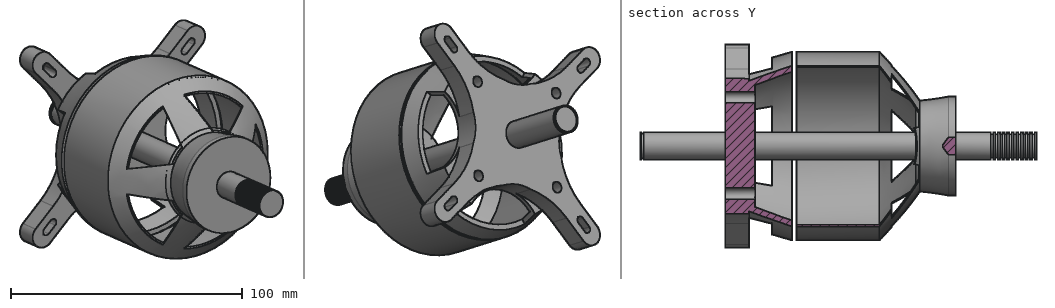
import cadquery as cq
import math


SHAFT_LENGTH = 171.0
SHAFT_RADIUS = 6.0
GROOVE_WIDTH = 1.0
REAR_GROOVE_START = 0.5
REAR_GROOVE_DEPTH = 0.5
THREAD_GROOVES = 10
THREAD_PITCH = 2 * GROOVE_WIDTH
THREAD_DEPTH = 0.9

PLATE_BACK = 36.6
PLATE_FRONT = 47.0
ARM_TIP_RADIUS = 5.22
ARM_REACH = 87.7 / 2 - ARM_TIP_RADIUS
SCOOP_RADIUS = 36.8
SLOT_CENTRE_RADIUS = 49.8
SLOT_WIDTH = 3.5
SLOT_LENGTH = 8.2
BOLT_CIRCLE_RADIUS = 29.4
BOLT_HOLE_DIAMETER = 4.8
BOLT_TWIST = 0.7

MOTOR_RADIUS = 40.7
HUB_FRONT = 49.6
RING_BACK = 56.8
RING_FRONT = 65.5
RING_BACK_RADIUS = 38.1
HOUSING_WALL = 2.4
PORT_RADIUS = 20.2
PORT_CENTRE = 42.2

BELL_BACK = 67.4
CONE_START = 103.1
CONE_END = 120.5
CONE_END_RADIUS = 19.7
CONE_BULGE = 0.5
BELL_WALL = 0.9
HUB_BACK = 118.8
COLLAR_RIM_BACK = 132.9
COLLAR_FRONT = 136.1
COLLAR_RADIUS = 21.4

WINDOW_BACK = 108.4
WINDOW_FRONT = 120.0
SPOKES = 5
SPOKE_BACK_HALF_WIDTH = 5.6
SPOKE_FRONT_HALF_WIDTH = 8.2


def cylinder(start, end, radius, y=0, z=0):
    """Cylinder along X between two X positions."""
    return cq.Workplane("YZ", origin=(start, y, z)).circle(radius).extrude(end - start)


def turn(shape, angle):
    """Rotate a shape about the shaft axis."""
    return shape.rotate((0, 0, 0), (1, 0, 0), angle)


def shaft_groove(start, depth):
    """Square ring groove in the shaft."""
    end = start + GROOVE_WIDTH
    core = cylinder(start, end, SHAFT_RADIUS - depth)
    return cylinder(start, end, 2 * SHAFT_RADIUS).cut(core)


def make_shaft():
    shaft = cylinder(0, SHAFT_LENGTH, SHAFT_RADIUS)
    shaft = shaft.cut(shaft_groove(REAR_GROOVE_START, REAR_GROOVE_DEPTH))
    thread_start = SHAFT_LENGTH - THREAD_GROOVES * THREAD_PITCH
    for i in range(THREAD_GROOVES):
        shaft = shaft.cut(shaft_groove(thread_start + i * THREAD_PITCH, THREAD_DEPTH))
    return shaft


def make_cross():
    """Four-armed plate whose concave sides run tangent into the arms."""
    tip_offset = ARM_TIP_RADIUS / math.sqrt(2)
    tip_near = ARM_REACH - tip_offset
    tip_far = ARM_REACH + tip_offset
    scoop_half_width = SCOOP_RADIUS / math.sqrt(2)
    scoop_centre = math.sqrt(2) * (SCOOP_RADIUS + ARM_TIP_RADIUS)
    scoop_end = scoop_centre - scoop_half_width
    scoop_bottom = scoop_centre - SCOOP_RADIUS

    def place(point, quarter):
        y, z = point
        for _ in range(quarter):
            y, z = -z, y
        return y, z

    outline = cq.Workplane("YZ", origin=(PLATE_BACK, 0, 0)).moveTo(scoop_end, -scoop_half_width)
    for quarter in range(4):
        outline = outline.threePointArc(
            place((scoop_bottom, 0), quarter), place((scoop_end, scoop_half_width), quarter)
        )
        outline = outline.lineTo(*place((tip_far, tip_near), quarter))
        outline = outline.threePointArc(
            place((tip_far, tip_far), quarter), place((tip_near, tip_far), quarter)
        )
        outline = outline.lineTo(*place((scoop_half_width, scoop_end), quarter))
    return outline.close().extrude(PLATE_FRONT - PLATE_BACK)


def make_housing():
    """Conical stator cup, closed at the back and open at the front."""
    slope = (MOTOR_RADIUS - RING_BACK_RADIUS) / (RING_FRONT - RING_BACK)

    def outer_radius(x):
        return RING_BACK_RADIUS + slope * (x - RING_BACK)

    outline = [
        (PLATE_FRONT, 0),
        (PLATE_FRONT, outer_radius(PLATE_FRONT)),
        (RING_FRONT, MOTOR_RADIUS),
        (RING_FRONT, MOTOR_RADIUS - HOUSING_WALL),
        (HUB_FRONT, outer_radius(HUB_FRONT) - HOUSING_WALL),
        (HUB_FRONT, 0),
    ]
    return cq.Workplane("XY").polyline(outline).close().revolve(360, (0, 0, 0), (1, 0, 0))


def make_mount():
    """Cross and housing with their ports, slots and bolt holes."""
    mount = make_cross().union(make_housing())
    port = cylinder(PLATE_BACK, RING_BACK, PORT_RADIUS, y=PORT_CENTRE)
    bolt_hole = cylinder(PLATE_BACK, HUB_FRONT, BOLT_HOLE_DIAMETER / 2, y=BOLT_CIRCLE_RADIUS)
    slot = (
        cq.Workplane("YZ", origin=(PLATE_BACK, SLOT_CENTRE_RADIUS, 0))
        .slot2D(SLOT_LENGTH, SLOT_WIDTH)
        .extrude(PLATE_FRONT - PLATE_BACK)
    )
    for quarter_angle in range(0, 360, 90):
        arm_angle = quarter_angle + 45
        mount = mount.cut(turn(port, quarter_angle))
        mount = mount.cut(turn(bolt_hole, arm_angle - BOLT_TWIST))
        mount = mount.cut(turn(slot, arm_angle))
    return mount


def cone_radius(x):
    """Outer radius of the bell cone, whose outline is a slightly convex arc."""
    run = CONE_END - CONE_START
    drop = MOTOR_RADIUS - CONE_END_RADIUS
    chord = math.hypot(run, drop)
    arc_radius = (chord**2 / 4 + CONE_BULGE**2) / (2 * CONE_BULGE)
    centre_depth = arc_radius - CONE_BULGE
    centre_x = (CONE_START + CONE_END) / 2 - centre_depth * drop / chord
    centre_r = (MOTOR_RADIUS + CONE_END_RADIUS) / 2 - centre_depth * run / chord
    return centre_r + math.sqrt(arc_radius**2 - (x - centre_x) ** 2)


def outer_cone_point(x):
    return x, cone_radius(x)


def inner_cone_point(x):
    return x, cone_radius(x) - BELL_WALL


def make_bell_body():
    """Thin rotor can, its cone and the solid flared collar."""
    return (
        cq.Workplane("XY")
        .moveTo(BELL_BACK, MOTOR_RADIUS - BELL_WALL)
        .lineTo(BELL_BACK, MOTOR_RADIUS)
        .lineTo(CONE_START, MOTOR_RADIUS)
        .threePointArc(
            outer_cone_point((CONE_START + CONE_END) / 2),
            outer_cone_point(CONE_END),
        )
        .lineTo(COLLAR_RIM_BACK, COLLAR_RADIUS)
        .lineTo(COLLAR_FRONT, COLLAR_RADIUS)
        .lineTo(COLLAR_FRONT, 0)
        .lineTo(HUB_BACK, 0)
        .lineTo(*inner_cone_point(HUB_BACK))
        .threePointArc(
            inner_cone_point((HUB_BACK + CONE_START) / 2),
            inner_cone_point(CONE_START),
        )
        .close()
        .revolve(360, (0, 0, 0), (1, 0, 0))
    )


def make_windows():
    """Band of the cone wall that is removed between the spokes."""
    band = (
        cq.Workplane("XY")
        .moveTo(*inner_cone_point(WINDOW_BACK))
        .lineTo(WINDOW_BACK, MOTOR_RADIUS)
        .lineTo(WINDOW_FRONT, MOTOR_RADIUS)
        .lineTo(*inner_cone_point(WINDOW_FRONT))
        .threePointArc(
            inner_cone_point((WINDOW_FRONT + WINDOW_BACK) / 2),
            inner_cone_point(WINDOW_BACK),
        )
        .close()
        .revolve(360, (0, 0, 0), (1, 0, 0))
    )
    spoke = (
        cq.Workplane("XZ")
        .polyline([
            (WINDOW_BACK, -SPOKE_BACK_HALF_WIDTH),
            (WINDOW_FRONT, -SPOKE_FRONT_HALF_WIDTH),
            (WINDOW_FRONT, SPOKE_FRONT_HALF_WIDTH),
            (WINDOW_BACK, SPOKE_BACK_HALF_WIDTH),
        ])
        .close()
        .extrude(2 * MOTOR_RADIUS)
    )
    for i in range(SPOKES):
        band = band.cut(turn(spoke, i * 360 / SPOKES))
    return band


bell = make_bell_body().cut(make_windows())
result = make_mount().union(bell).union(make_shaft())